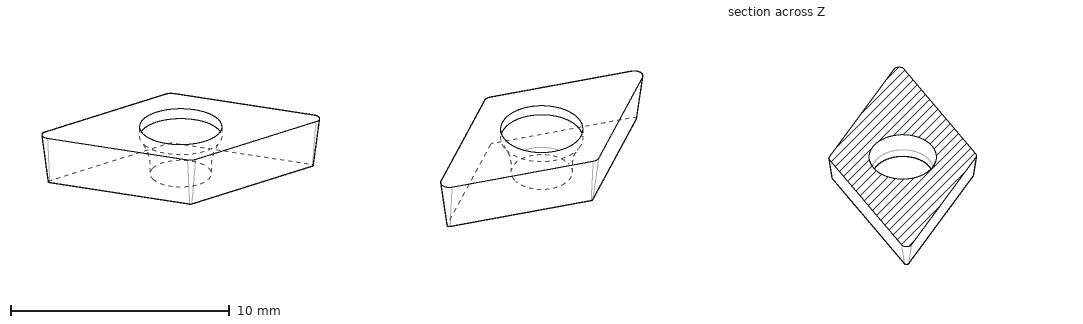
import cadquery as cq
import math

inscribed_diameter = 6.35
thickness = 2.38
nose_angle = 55.0
nose_radius = 0.4
relief_angle = 7.0

entry_diameter = 3.76
bore_diameter = 2.8
entry_depth = 0.5
seat_radius = 2.5


def insert_body():
    """Rounded rhombus, widest on the top face and tapering inward below it."""
    half_width = inscribed_diameter / 2
    half_side = half_width / math.sin(math.radians(nose_angle))
    half_lean = half_width / math.tan(math.radians(nose_angle))
    inset_scale = 1 - nose_radius / half_width
    corners = [
        (half_side + half_lean, half_width),
        (half_lean - half_side, half_width),
        (-half_side - half_lean, -half_width),
        (half_side - half_lean, -half_width),
    ]
    core = [(x * inset_scale, y * inset_scale) for x, y in corners]
    return (
        cq.Workplane("XY")
        .workplane(offset=thickness)
        .polyline(core)
        .close()
        .offset2D(nose_radius, "arc")
        .extrude(-thickness, taper=relief_angle)
    )


def screw_hole():
    """Revolved cutter whose convex seat arc runs tangent into the bore."""
    entry_radius = entry_diameter / 2
    bore_radius = bore_diameter / 2
    seat_step = entry_radius - bore_radius
    seat_angle = math.acos(1 - seat_step / seat_radius)
    seat_top = thickness - entry_depth
    seat_bottom = seat_top - seat_radius * math.sin(seat_angle)
    arc_middle = (
        bore_radius + seat_radius * (1 - math.cos(seat_angle / 2)),
        seat_bottom + seat_radius * math.sin(seat_angle / 2),
    )
    return (
        cq.Workplane("XZ")
        .lineTo(bore_radius, 0)
        .lineTo(bore_radius, seat_bottom)
        .threePointArc(arc_middle, (entry_radius, seat_top))
        .lineTo(entry_radius, thickness)
        .lineTo(0, thickness)
        .close()
        .revolve(360, (0, 0, 0), (0, 1, 0))
    )


result = insert_body().cut(screw_hole())